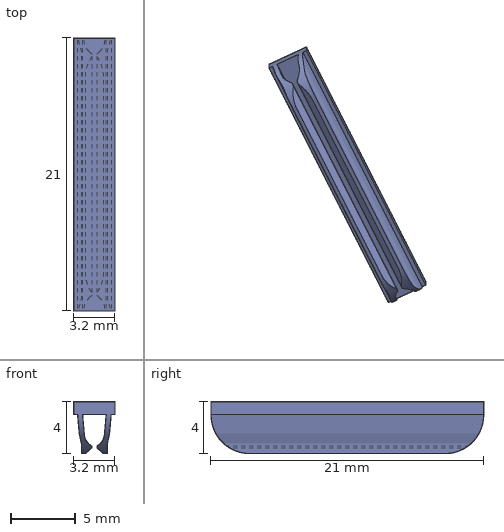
import cadquery as cq
import math

plate_width = 3.2
plate_length = 21.0
plate_thickness = 1.0

leg_height = 3.0
leg_end_radius = leg_height

root_outer_x = 1.3
foot_outer_x = 1.0
bend_depth = 1.45
foot_depth = 2.25
upper_lean = math.radians(5)

root_thickness = 0.4
inner_straight_depth = 1.55
foot_inner_x = 0.7

hook_tip_x = 0.2
hook_tip_top_depth = 2.4
hook_tip_height = 0.15

bend_outer_x = root_outer_x - bend_depth * math.tan(upper_lean)
root_inner_x = root_outer_x - root_thickness
curve_start_x = root_inner_x - inner_straight_depth * math.tan(upper_lean)
hook_tip_bottom_depth = hook_tip_top_depth + hook_tip_height


def make_plate():
    return cq.Workplane("XY").box(
        plate_width, plate_length, plate_thickness, centered=(True, True, False)
    )


def make_leg():
    """Leg on the +X side, with a hook pointing inward and rounded Y ends."""
    leg = (
        cq.Workplane("XZ")
        .moveTo(root_inner_x, 0)
        .lineTo(curve_start_x, -inner_straight_depth)
        .tangentArcPoint((hook_tip_x, -hook_tip_top_depth), relative=False)
        .lineTo(hook_tip_x, -hook_tip_bottom_depth)
        .lineTo(foot_inner_x, -leg_height)
        .lineTo(foot_outer_x, -leg_height)
        .lineTo(foot_outer_x, -foot_depth)
        .lineTo(bend_outer_x, -bend_depth)
        .lineTo(root_outer_x, 0)
        .close()
        .extrude(plate_length / 2, both=True)
    )
    return leg.intersect(make_leg_envelope())


def make_leg_envelope():
    """Block under the plate whose lower edges at both Y ends are quarter rounds."""
    half_length = plate_length / 2
    flat_half_length = half_length - leg_end_radius
    corner_reach = leg_end_radius * math.sin(math.radians(45))
    arc_mid_y = flat_half_length + corner_reach
    arc_mid_z = leg_end_radius - leg_height - corner_reach
    return (
        cq.Workplane("YZ")
        .moveTo(-half_length, 0)
        .threePointArc((-arc_mid_y, arc_mid_z), (-flat_half_length, -leg_height))
        .lineTo(flat_half_length, -leg_height)
        .threePointArc((arc_mid_y, arc_mid_z), (half_length, 0))
        .close()
        .extrude(plate_width / 2, both=True)
    )


leg = make_leg()
result = make_plate().union(leg).union(leg.mirror("YZ"))